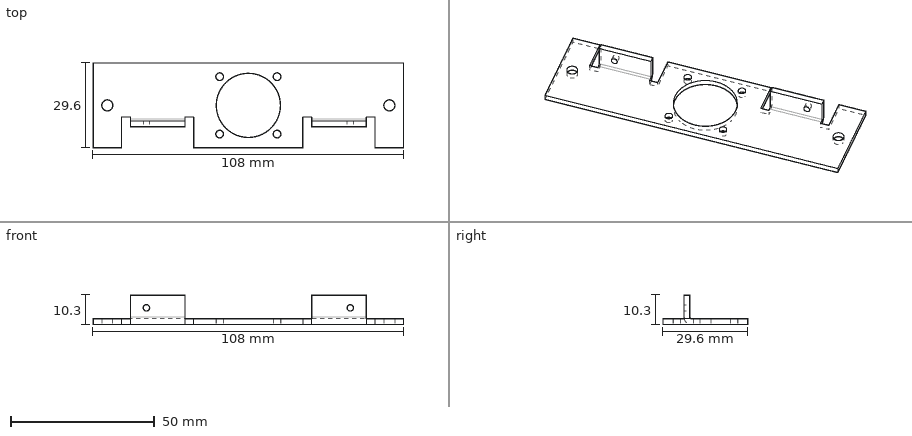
import cadquery as cq

LENGTH = 108.0
WIDTH = 29.6
SHEET = 2.0

NOTCH_OFFSET = 31.5
NOTCH_WIDTH = 25.1
NOTCH_DEPTH = 10.7

TAB_WIDTH = 19.1
TAB_HEIGHT = 10.3
TAB_FRONT_SETBACK = 7.3
BEND_INNER_RADIUS = 0.6
TAB_HOLE_DIAMETER = 2.2
TAB_HOLE_EDGE_DISTANCE = 5.6
TAB_HOLE_HEIGHT = 5.8

BORE_DIAMETER = 22.2
BOLT_SPACING = 20.0
BOLT_DIAMETER = 2.6
MOUNT_SPACING = 98.2
MOUNT_DIAMETER = 3.8

front_edge = -WIDTH / 2
notch_back = front_edge + NOTCH_DEPTH
tab_front = front_edge + TAB_FRONT_SETBACK
tab_back = tab_front + SHEET
bend_outer_radius = BEND_INNER_RADIUS + SHEET
bend_start = tab_front + bend_outer_radius


def make_plate():
    """Flat sheet with two front notches and all its through holes."""
    plate = cq.Workplane("XY").box(LENGTH, WIDTH, SHEET, centered=(True, True, False))
    notches = (
        cq.Workplane("XY")
        .pushPoints([(side * NOTCH_OFFSET, front_edge + NOTCH_DEPTH / 2) for side in (-1, 1)])
        .rect(NOTCH_WIDTH, NOTCH_DEPTH)
        .extrude(SHEET)
    )
    bore = cq.Workplane("XY").circle(BORE_DIAMETER / 2).extrude(SHEET)
    bolt_holes = (
        cq.Workplane("XY")
        .rarray(BOLT_SPACING, BOLT_SPACING, 2, 2)
        .circle(BOLT_DIAMETER / 2)
        .extrude(SHEET)
    )
    mount_holes = (
        cq.Workplane("XY")
        .rarray(MOUNT_SPACING, 1.1, 2, 1)
        .circle(MOUNT_DIAMETER / 2)
        .extrude(SHEET)
    )
    return plate.cut(notches).cut(bore).cut(bolt_holes).cut(mount_holes)


def make_right_tab():
    """Tab with a rounded bend, joined to the plate at the back of the notch."""
    tab = (
        cq.Workplane("YZ", origin=(NOTCH_OFFSET, 0, 0))
        .moveTo(notch_back, 0)
        .lineTo(bend_start, 0)
        .radiusArc((tab_front, bend_outer_radius), bend_outer_radius)
        .lineTo(tab_front, TAB_HEIGHT)
        .lineTo(tab_back, TAB_HEIGHT)
        .lineTo(tab_back, bend_outer_radius)
        .radiusArc((bend_start, SHEET), -BEND_INNER_RADIUS)
        .lineTo(notch_back, SHEET)
        .close()
        .extrude(TAB_WIDTH / 2, both=True)
    )
    hole_x = NOTCH_OFFSET + TAB_WIDTH / 2 - TAB_HOLE_EDGE_DISTANCE
    hole = (
        cq.Workplane("XZ", origin=(hole_x, tab_back, TAB_HOLE_HEIGHT))
        .circle(TAB_HOLE_DIAMETER / 2)
        .extrude(SHEET)
    )
    return tab.cut(hole)


right_tab = make_right_tab()
left_tab = right_tab.mirror("YZ")
result = make_plate().union(right_tab).union(left_tab)